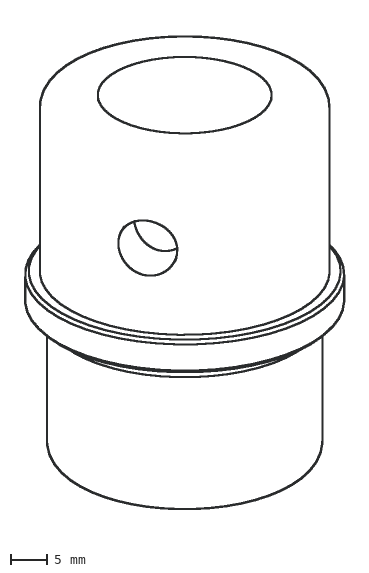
import cadquery as cq

height = 55.0
bore_radius = 24.0 / 2
upper_radius = 40.0 / 2
lower_radius = 38.0 / 2
end_fillet = 2.0

collar_radius = 44.0 / 2
collar_bottom = 23.0
collar_top = 28.0
collar_chamfer = 0.5

relief_depth = 0.75
relief_height = 2.0
relief_radius = lower_radius - relief_depth
relief_arc_radius = (relief_height**2 + relief_depth**2) / (2 * relief_depth)

hole_diameter = 8.4
hole_height = 41.0


def cylinder(radius, bottom, top):
    return cq.Workplane("XY").workplane(offset=bottom).circle(radius).extrude(top - bottom)


upper_body = cylinder(upper_radius, collar_bottom, height).faces(">Z").edges().fillet(end_fillet)
lower_body = cylinder(lower_radius, 0, collar_bottom - relief_height).faces("<Z").edges().fillet(end_fillet)
collar = cylinder(collar_radius, collar_bottom, collar_top).edges().chamfer(collar_chamfer)

relief = (
    cq.Workplane("XZ")
    .moveTo(0, collar_bottom)
    .lineTo(relief_radius, collar_bottom)
    .radiusArc((lower_radius, collar_bottom - relief_height), -relief_arc_radius)
    .lineTo(0, collar_bottom - relief_height)
    .close()
    .revolve(360, (0, 0, 0), (0, 1, 0))
)

bore = cylinder(bore_radius, 0, height)
radial_hole = (
    cq.Workplane("XZ")
    .center(0, hole_height)
    .circle(hole_diameter / 2)
    .extrude(collar_radius)
)

result = lower_body.union(relief).union(collar).union(upper_body).cut(bore).cut(radial_hole)